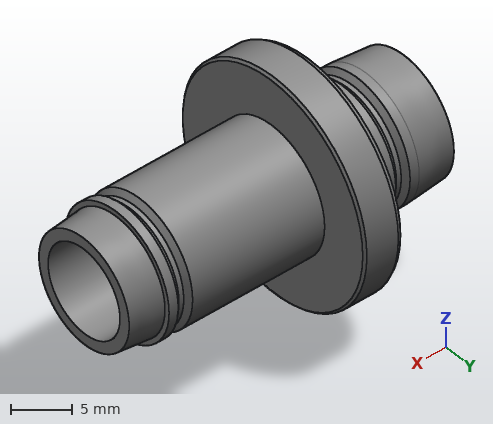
import cadquery as cq

length = 34.0
body_radius = 6.5
bore_radius = 4.5

flange_radius = 11.5
flange_start = 10.0
flange_width = 4.0
left_bevel_length = 0.45
right_bevel_length = 0.25
bevel_depth = 0.25

left_taper_length = 4.0
left_end_radius = 6.15
right_taper_length = 3.5
right_taper_radius = 6.0
right_end_radius = 5.65

groove_depth = 0.5
groove_floor_width = 0.5
left_groove_center = 5.7
right_groove_center = length - 5.25


def revolve_about_x(points):
    """Solid of revolution from an (X, radius) outline."""
    return cq.Workplane("XY").polyline(points).close().revolve(360, (0, 0, 0), (1, 0, 0))


def make_body():
    right_taper_start = length - right_taper_length
    return revolve_about_x([
        (0, 0),
        (0, left_end_radius),
        (left_taper_length, body_radius),
        (right_taper_start, body_radius),
        (right_taper_start, right_taper_radius),
        (length, right_end_radius),
        (length, 0),
    ])


def make_flange():
    flange_end = flange_start + flange_width
    rim_radius = flange_radius - bevel_depth
    return revolve_about_x([
        (flange_start, 0),
        (flange_start, rim_radius),
        (flange_start + left_bevel_length, flange_radius),
        (flange_end - right_bevel_length, flange_radius),
        (flange_end, rim_radius),
        (flange_end, 0),
    ])


def make_groove_cutter(center):
    floor_radius = body_radius - groove_depth
    half_floor = groove_floor_width / 2
    top_radius = body_radius + groove_depth
    half_top = half_floor + top_radius - floor_radius
    return revolve_about_x([
        (center - half_floor, floor_radius),
        (center + half_floor, floor_radius),
        (center + half_top, top_radius),
        (center - half_top, top_radius),
    ])


result = make_body().union(make_flange())
for groove_center in (left_groove_center, right_groove_center):
    result = result.cut(make_groove_cutter(groove_center))

bore = cq.Workplane("YZ").circle(bore_radius).extrude(length)
result = result.cut(bore)